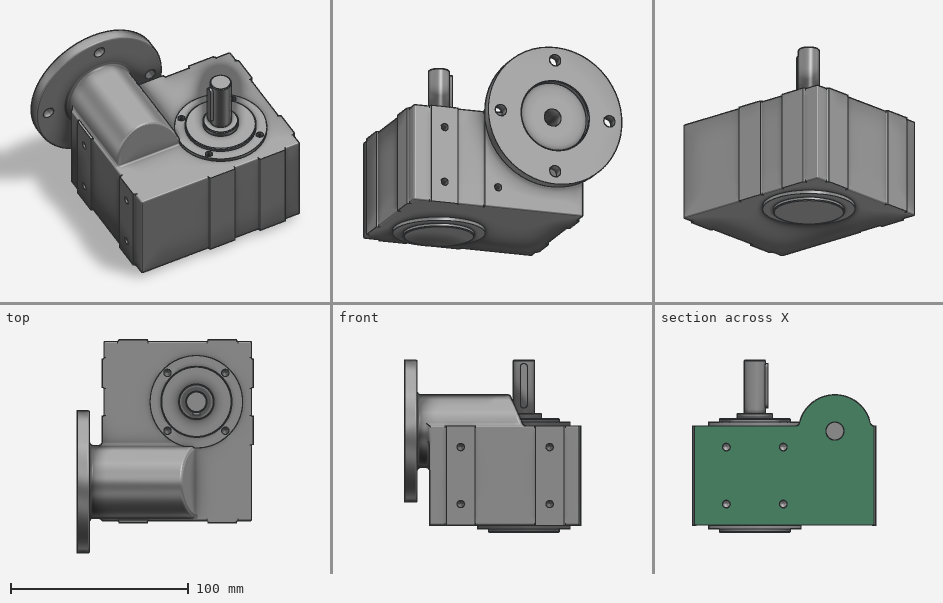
import cadquery as cq
import math


wall_left = -52.0
wall_right = 31.0
wall_front = -67.0
wall_back = 34.0
top_z = 3.0
bottom_z = -53.0
block_height = top_z - bottom_z
edge_radius = 1.0

pad_height = 1.0
pad_width = 16.0
pad_outer_foot = 0.8
pad_inner_foot = 0.4
pad_root = 2.0
left_face = wall_left - pad_height
left_pad_end_y = -8.0
left_pad_depth = 10.0
pad_centers_x = (-35.5, 14.5)
pad_centers_y = (16.0, -16.0)

tap_diameter = 4.13
tap_depth = 10.0
drill_point_angle = 118.0
pad_hole_levels = (-9.0, -41.0)

motor_y = -45.0
tube_diameter = 41.0
tube_slope = math.radians(24.5)
tube_fillet = 2.0
flange_diameter = 80.0
flange_face_x = -67.0
flange_thickness = 7.0
flange_back_x = flange_face_x + flange_thickness
flange_rim_radius = 1.0
flange_hole_diameter = 6.6
flange_bolt_circle = 65.0
pilot_diameter = 40.0
pilot_depth = 4.0
pilot_chamfer = 0.5
motor_bore_diameter = 10.0
motor_bore_depth = 20.0

cover_diameter = 52.0
cover_thickness = 2.0
spigot_diameter = 40.0
spigot_thickness = 2.0
collar_diameter = 20.0
collar_thickness = 3.0
shaft_diameter = 12.0
shaft_length = 30.0
turned_chamfer = 0.5
cover_hole_pitch = 32.5
key_width = 4.0
key_length = 25.0
key_top_gap = 2.0
key_front_y = -7.5
key_root_y = -3.5

margin = 0.1
front_stock = 20.0
cutter_size = 300.0


def box_between(x, y, z):
    """Axis-aligned box from (min, max) pairs."""
    size = (x[1] - x[0], y[1] - y[0], z[1] - z[0])
    return cq.Workplane("XY").box(*size, centered=False).translate((x[0], y[0], z[0]))


def near_edges(x, y, z):
    """Selector for edges lying wholly within a small margin of the given ranges."""
    low = [limits[0] - margin for limits in (x, y, z)]
    high = [limits[1] + margin for limits in (x, y, z)]
    return cq.selectors.BoxSelector(low, high, boundingbox=True)


def block_stock():
    """Block with the raised left face, left over-long at the front, its back edges rounded."""
    front = wall_front - front_stock
    z_range = (bottom_z, top_z)
    block = box_between((wall_left, wall_right), (front, wall_back), z_range)
    left_pad = box_between((left_face, left_face + left_pad_depth), (front, left_pad_end_y), z_range)
    block = block.union(left_pad)
    left_wall_edges = near_edges((wall_left, wall_left), (left_pad_end_y, wall_back), z_range)
    left_edges = block.edges(left_wall_edges).edges("|Y")
    back_edges = block.faces(">Y").edges()
    right_edges = block.faces(">X").edges("|Y")
    return left_edges.add(back_edges).add(right_edges).fillet(edge_radius)


def motor_tube():
    """Round tube whose inner end slopes down to meet the block top at X = 0."""
    length = flange_diameter
    tube = cq.Workplane("YZ", origin=(flange_back_x, motor_y, 0)).circle(tube_diameter / 2).extrude(length)
    rise = tube_diameter
    run = rise * math.tan(tube_slope)
    beyond = (
        cq.Workplane("XZ", origin=(0, motor_y + flange_diameter / 2, 0))
        .polyline([(-run, top_z + rise), (run, top_z - rise), (length, top_z - rise), (length, top_z + rise)])
        .close()
        .extrude(flange_diameter)
    )
    return tube.cut(beyond).faces(">X").edges().fillet(tube_fillet)


def housing():
    """Block and tube blended together, with the free block edges rounded."""
    radius = tube_diameter / 2
    tube_sides = (motor_y - radius, motor_y + radius)
    tube_joint = near_edges((left_face, tube_fillet), tube_sides, (-radius, top_z))
    body = block_stock().union(motor_tube()).edges(tube_joint).fillet(tube_fillet)
    wide = (-cutter_size, cutter_size)
    spare = box_between(wide, (wall_front - cutter_size, wall_front), wide)
    body = body.cut(spare)
    front_edges = body.faces("<Y").edges()
    left_foot = near_edges((left_face, left_face), (wall_front, left_pad_end_y), (bottom_z, bottom_z))
    return front_edges.add(body.edges(left_foot)).fillet(edge_radius)


def pad(position, outward_angle, low_foot, high_foot):
    """Full-height pad on a wall, facing outward_angle, with concave feet on both sides."""
    half = pad_width / 2
    low_start = (-half - low_foot, 0)
    high_end = (half + high_foot, 0)
    diagonal = 1 - math.sqrt(0.5)
    profile = (
        cq.Workplane("XY")
        .moveTo(low_start[0], -pad_root)
        .lineTo(*low_start)
        .threePointArc((-half - low_foot * diagonal, low_foot * diagonal), (-half, low_foot))
        .lineTo(-half, pad_height)
        .lineTo(half, pad_height)
        .lineTo(half, high_foot)
        .threePointArc((half + high_foot * diagonal, high_foot * diagonal), high_end)
        .lineTo(high_end[0], -pad_root)
        .close()
        .extrude(block_height)
    )
    turned = profile.rotate((0, 0, 0), (0, 0, 1), outward_angle)
    return turned.translate((position[0], position[1], bottom_z))


def all_pads():
    """Two pads on each wall; on the left, the raised face replaces one and only its foot is added."""
    left_x, right_x = pad_centers_x
    back_y, front_y = pad_centers_y
    outer, inner = pad_outer_foot, pad_inner_foot
    foot_range = (left_pad_end_y, left_pad_end_y + inner)
    foot_zone = box_between((left_face, wall_left + pad_root), foot_range, (bottom_z, top_z))
    left_face_foot = pad((wall_left, front_y), 90, inner, inner).intersect(foot_zone)
    return [
        left_face_foot,
        pad((left_x, wall_front), 180, inner, outer),
        pad((right_x, wall_front), 180, outer, inner),
        pad((left_x, wall_back), 0, outer, inner),
        pad((right_x, wall_back), 0, inner, outer),
        pad((wall_left, back_y), 90, inner, outer),
        pad((wall_right, back_y), -90, outer, inner),
        pad((wall_right, front_y), -90, inner, inner),
    ]


def disc(diameter, start_z, end_z):
    """Vertical cylinder on the output shaft axis."""
    return cq.Workplane("XY", origin=(0, 0, start_z)).circle(diameter / 2).extrude(end_z - start_z)


def motor_flange():
    """Round flange on the motor side, blended into the tube with a concave fillet."""
    tube_radius = tube_diameter / 2
    blend_mid = tube_fillet * (1 - math.sqrt(0.5))
    flange = (
        cq.Workplane("YZ", origin=(flange_face_x, motor_y, 0))
        .circle(flange_diameter / 2)
        .extrude(flange_thickness)
        .faces(">X")
        .edges()
        .fillet(flange_rim_radius)
    )
    blend = (
        cq.Workplane("XY", origin=(flange_back_x, motor_y, 0))
        .moveTo(0, 0)
        .lineTo(0, tube_radius + tube_fillet)
        .threePointArc((blend_mid, tube_radius + blend_mid), (tube_fillet, tube_radius))
        .lineTo(tube_fillet, 0)
        .close()
        .revolve(360, (0, 0, 0), (1, 0, 0))
    )
    return flange.union(blend)


def shaft_key(end_z):
    """Round-ended key set into the -Y side of the shaft, with its upper end at end_z."""
    return (
        cq.Workplane("XZ", origin=(0, key_root_y, end_z - key_length / 2))
        .slot2D(key_length, key_width, 90)
        .extrude(key_root_y - key_front_y)
    )


def output_side():
    """Stepped covers above and below the block, with the collar, shaft and key on top."""
    cover_z = top_z + cover_thickness
    spigot_z = cover_z + spigot_thickness
    collar_z = spigot_z + collar_thickness
    low_cover_z = bottom_z - cover_thickness
    low_spigot_z = low_cover_z - spigot_thickness
    steps = [disc(cover_diameter, top_z, cover_z), disc(cover_diameter, low_cover_z, bottom_z)]
    raised = (
        (spigot_diameter, cover_z, spigot_z),
        (collar_diameter, spigot_z, collar_z),
        (shaft_diameter, collar_z, collar_z + shaft_length),
    )
    for diameter, start_z, end_z in raised:
        steps.append(disc(diameter, start_z, end_z).faces(">Z").edges().chamfer(turned_chamfer))
    low_spigot = disc(spigot_diameter, low_spigot_z, low_cover_z)
    low_spigot_step = low_spigot.faces("<Z").edges().chamfer(turned_chamfer)
    key = shaft_key(collar_z + shaft_length - key_top_gap)
    return steps + [low_spigot_step, key]


def tapped_hole(point, inward):
    """Cutter for a blind drilled hole with a conical bottom."""
    radius = tap_diameter / 2
    point_length = radius / math.tan(math.radians(drill_point_angle / 2))
    start = cq.Vector(*point)
    direction = cq.Vector(*inward)
    bore = cq.Solid.makeCylinder(radius, tap_depth, start, direction)
    tip = cq.Solid.makeCone(radius, 0, point_length, start + direction * tap_depth, direction)
    return cq.Workplane(bore.fuse(tip))


def tapped_holes():
    """Holes in the front pads, in the left face and in the top cover."""
    holes = []
    for z in pad_hole_levels:
        for x in pad_centers_x:
            holes.append(tapped_hole((x, wall_front - pad_height, z), (0, 1, 0)))
        for y in pad_centers_y:
            holes.append(tapped_hole((left_face, y, z), (1, 0, 0)))
    half_pitch = cover_hole_pitch / 2
    for x in (-half_pitch, half_pitch):
        for y in (-half_pitch, half_pitch):
            holes.append(tapped_hole((x, y, top_z + cover_thickness), (0, 0, -1)))
    return holes


def flange_cuts():
    """Pilot recess with a chamfered rim, motor shaft bore and four through holes."""
    face = cq.Workplane("YZ", origin=(flange_face_x, motor_y, 0))
    pilot_radius = pilot_diameter / 2
    pilot = face.circle(pilot_radius).extrude(pilot_depth)
    rim = cq.Solid.makeCone(
        pilot_radius + pilot_chamfer,
        pilot_radius,
        pilot_chamfer,
        cq.Vector(flange_face_x, motor_y, 0),
        cq.Vector(1, 0, 0),
    )
    bore = face.circle(motor_bore_diameter / 2).extrude(pilot_depth + motor_bore_depth)
    bolts = (
        face.polarArray(flange_bolt_circle / 2, 0, 360, 4)
        .circle(flange_hole_diameter / 2)
        .extrude(flange_thickness)
    )
    return [pilot, cq.Workplane(rim), bore, bolts]


result = housing()
for piece in all_pads() + [motor_flange()] + output_side():
    result = result.union(piece)
for cutter in tapped_holes() + flange_cuts():
    result = result.cut(cutter)